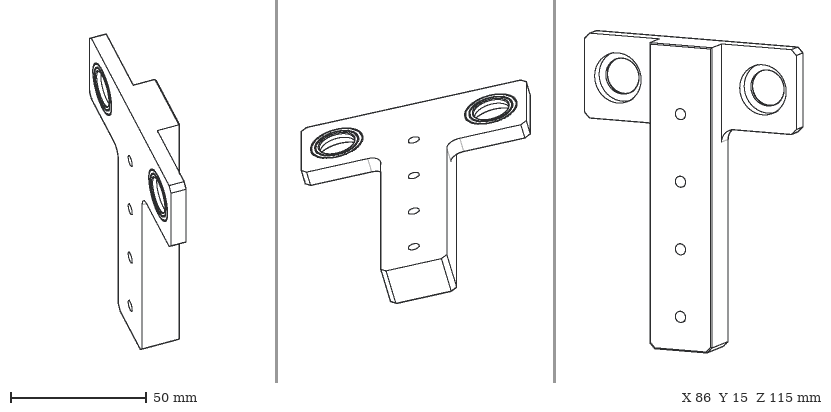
import cadquery as cq

height = 115
bar_width = 86.0
bar_height = 32.0
bar_thickness = 6.0
stem_width = 25.3
stem_depth = 15
corner_chamfer = 2.1
inner_fillet = 5.0
back_chamfer = 0.5
margin = 0.1

screw_diameter = 4.1
screw_pitch = 25.4
screw_count = 4
lowest_screw_z = 12.9

seat_spacing = 58.9
seat_drop = 16.0
rim_outer_diameter = 20.0
rim_inner_diameter = 19.3
seal_outer_diameter = 16.8
seal_inner_diameter = 16.0
groove_depth = 0.6
bore_diameter = 13.5
bore_chamfer = 0.3
bore_chamfer_angle = 45
ring_depth = 2.0
pocket_diameter = 18.9


def make_bar():
    bar = cq.Workplane("XY").box(bar_width, bar_thickness, bar_height, centered=(True, False, False))
    bar = bar.translate((0, 0, height - bar_height))
    return bar.edges("|Y").chamfer(corner_chamfer)


def make_stem():
    stem = cq.Workplane("XY").box(stem_width, stem_depth, height, centered=(True, False, False))
    stem = stem.edges("|Y and <Z").chamfer(corner_chamfer)
    return stem.faces(">Y").chamfer(back_chamfer)


def round_inner_corners(body):
    corner_z = height - bar_height
    low = (-stem_width / 2 - margin, -margin, corner_z - margin)
    high = (stem_width / 2 + margin, bar_thickness + margin, corner_z + margin)
    return body.edges(cq.selectors.BoxSelector(low, high)).edges("|Y").fillet(inner_fillet)


def front_cylinder(x, z, diameter, depth, taper=0):
    """Cylinder, or cone narrowing by the taper angle, running back from the front face."""
    plane = cq.Workplane("XZ", origin=(x, 0, z))
    return plane.circle(diameter / 2).extrude(-depth, taper=taper)


def ring_groove(x, z, outer_diameter, inner_diameter):
    """Shallow annular groove in the front face."""
    outer = front_cylinder(x, z, outer_diameter, groove_depth)
    return outer.cut(front_cylinder(x, z, inner_diameter, groove_depth))


def cut_bearing_seat(body, x, z):
    pocket = front_cylinder(x, z, pocket_diameter, bar_thickness - ring_depth).translate((0, ring_depth, 0))
    body = body.cut(pocket)
    body = body.cut(front_cylinder(x, z, bore_diameter, bar_thickness))
    flare = front_cylinder(x, z, bore_diameter + 2 * bore_chamfer, bore_chamfer, bore_chamfer_angle)
    body = body.cut(flare)
    body = body.cut(ring_groove(x, z, rim_outer_diameter, rim_inner_diameter))
    return body.cut(ring_groove(x, z, seal_outer_diameter, seal_inner_diameter))


body = round_inner_corners(make_bar().union(make_stem()))

for index in range(screw_count):
    screw_z = lowest_screw_z + index * screw_pitch
    body = body.cut(front_cylinder(0, screw_z, screw_diameter, stem_depth))

for side in (-1, 1):
    body = cut_bearing_seat(body, side * seat_spacing / 2, height - seat_drop)

result = body